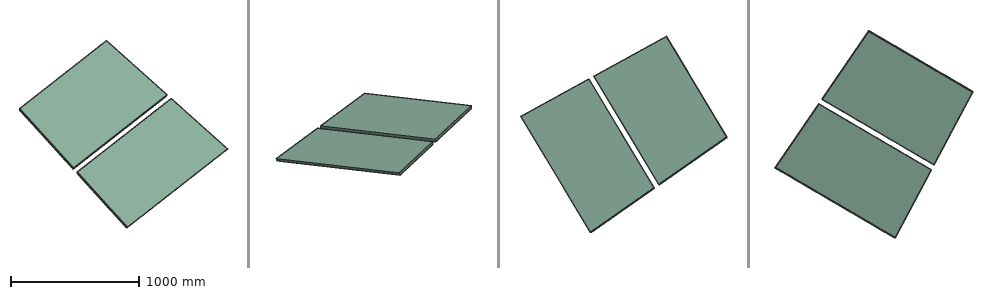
import cadquery as cq
import math

west_run = 111.0
west_length_y = 949.0
south_east = (1373.0, -875.0)
north_rise = 220.0

strike_angle = math.atan2(west_run, west_length_y)
total_drop = 321.0
east_face_height = 22.0
panel_thickness = 25.0
joint_start = 630.0
joint_gap = 43.0

north_east_x = south_east[0] - (north_rise - south_east[1]) * math.tan(strike_angle)
north_east = (north_east_x, north_rise)
south_west = (west_run, -west_length_y)
slope_length = south_east[0] * math.cos(strike_angle) + south_east[1] * math.sin(strike_angle)
east_face_drop = total_drop - east_face_height
slope = math.atan2(east_face_drop, slope_length)
vertical_thickness = panel_thickness / math.cos(slope)
square_edge_run = panel_thickness * math.sin(slope)
east_bevel_run = (east_face_drop + vertical_thickness - total_drop) / math.tan(slope)

slab_half_length = 2059.0


def top_point(run):
    return (run, -run * math.tan(slope))


def bottom_point(run):
    return (run, -run * math.tan(slope) - vertical_thickness)


def end_trim():
    """Upright block whose north and south faces trim the panel ends."""
    outline = [(0, 0), south_west, south_east, north_east]
    return (
        cq.Workplane("XY")
        .polyline(outline)
        .close()
        .extrude(total_drop + panel_thickness, both=True)
    )


def sloping_panel(top_start, top_end, bottom_start, bottom_end):
    """Sloping slab bounded by its edge runs and trimmed at both ends."""
    section = [
        top_point(top_start),
        top_point(top_end),
        bottom_point(bottom_end),
        bottom_point(bottom_start),
    ]
    slab = (
        cq.Workplane("XZ")
        .polyline(section)
        .close()
        .extrude(slab_half_length, both=True)
        .rotate((0, 0, 0), (0, 0, 1), math.degrees(strike_angle))
    )
    return slab.intersect(end_trim())


upper_panel = sloping_panel(0, joint_start, 0, joint_start - square_edge_run)

lower_start = joint_start + joint_gap
lower_panel = sloping_panel(
    lower_start,
    slope_length,
    lower_start - square_edge_run,
    slope_length - east_bevel_run,
)

result = cq.Compound.makeCompound([upper_panel.val(), lower_panel.val()])